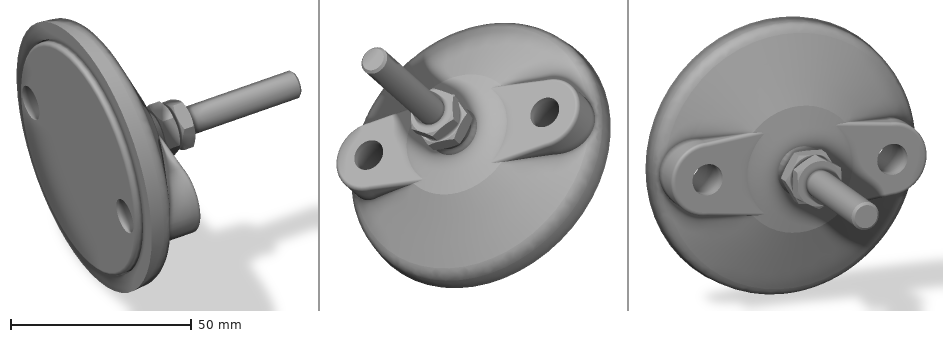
import cadquery as cq
import math


BASE_RADIUS = 39.5
RIM_CORNER_RADIUS = 38.9
RIM_CORNER_Y = 6.4
RIM_ROUND = 4.0
SHOULDER_RADIUS = 18.25
SHOULDER_Y = 16.0
MOUTH_RADIUS = 7.1
MOUTH_Y = 18.1

HOLE_SPACING = 55.0
BOSS_TOP_Y = 16.5
BOSS_BOTTOM_Y = 3.95
BOSS_END_RADIUS = 10.5
BOSS_MIDDLE_HALF_WIDTH = 13.7
BOSS_ROUND = 1.0
BASE_HOLE_DIAMETER = 9.0

PAD_RADIUS = 34.0
PAD_THICKNESS = 7.1
PAD_PROTRUSION = 2.0
PAD_ROUND = 1.0
PAD_GAP = 0.4
PAD_HOLE_DIAMETER = 10.0
PAD_TOP_Y = PAD_THICKNESS - PAD_PROTRUSION

BALL_RADIUS = 8.3
BALL_Y = 13.9
COLLAR_RADIUS = 6.1
HEX_BOTTOM_Y = 22.0
HEX_HEIGHT = 4.5
HEX_ACROSS_FLATS = 14.0
HEX_TOP_Y = HEX_BOTTOM_Y + HEX_HEIGHT
SHAFT_RADIUS = 4.0
SHAFT_TOP_Y = 66.5
TIP_CHAMFER = 0.7
GROOVE_DEPTH = 0.5
GROOVE_WIDTH = 1.3

NUT_BOTTOM_Y = 27.5
NUT_HEIGHT = 4.0
NUT_ACROSS_FLATS = 13.0

HEX_CHAMFER_ANGLE = 30.0


def disc(radius, bottom, top):
    """Cylinder about the Y axis between two heights."""
    return cq.Workplane("XZ", origin=(0, bottom, 0)).circle(radius).extrude(bottom - top)


def bolt_holes(diameter, bottom, top):
    """Two cylinders at the bolt positions, used as cutters."""
    plane = cq.Workplane("XZ", origin=(0, bottom, 0))
    return plane.rarray(HOLE_SPACING, 0.8, 2, 1).circle(diameter / 2).extrude(bottom - top)


def ball():
    """Ball that turns in the base; also the cutter for its socket."""
    return cq.Workplane("XY").sphere(BALL_RADIUS).translate((0, BALL_Y, 0))


def chamfered_hexagon(across_flats, bottom, height, turn):
    """Hexagonal prism along Y with its corners turned off at both ends."""
    face_radius = across_flats / 2
    corner_radius = face_radius / math.cos(math.radians(30))
    drop = (corner_radius - face_radius) * math.tan(math.radians(HEX_CHAMFER_ANGLE))
    top = bottom + height
    prism = (
        cq.Workplane("XZ", origin=(0, bottom, 0))
        .polygon(6, 2 * corner_radius)
        .extrude(-height)
        .rotate((0, 0, 0), (0, 1, 0), turn)
    )
    turned_blank = (
        cq.Workplane("XY")
        .moveTo(0, bottom)
        .lineTo(face_radius, bottom)
        .lineTo(corner_radius, bottom + drop)
        .lineTo(corner_radius, top - drop)
        .lineTo(face_radius, top)
        .lineTo(0, top)
        .close()
        .revolve(360, (0, 0, 0), (0, 1, 0))
    )
    return prism.intersect(turned_blank)


def base_cone():
    """Round body of the base: rim, rounded corner and two cones."""
    body = (
        cq.Workplane("XY")
        .moveTo(0, 0)
        .lineTo(BASE_RADIUS, 0)
        .lineTo(RIM_CORNER_RADIUS, RIM_CORNER_Y)
        .lineTo(SHOULDER_RADIUS, SHOULDER_Y)
        .lineTo(MOUTH_RADIUS, MOUTH_Y)
        .lineTo(0, MOUTH_Y)
        .close()
        .revolve(360, (0, 0, 0), (0, 1, 0))
    )
    corner = cq.selectors.NearestToPointSelector((0, RIM_CORNER_Y, 0))
    return body.edges("%CIRCLE").edges(corner).fillet(RIM_ROUND)


def bosses():
    """Both bosses as one bar with round ends, widest at the axis."""
    hole_x = HOLE_SPACING / 2
    end_x = hole_x + BOSS_END_RADIUS
    return (
        cq.Workplane("XZ", origin=(0, BOSS_BOTTOM_Y, 0))
        .moveTo(-hole_x, -BOSS_END_RADIUS)
        .lineTo(0, -BOSS_MIDDLE_HALF_WIDTH)
        .lineTo(hole_x, -BOSS_END_RADIUS)
        .threePointArc((end_x, 0), (hole_x, BOSS_END_RADIUS))
        .lineTo(0, BOSS_MIDDLE_HALF_WIDTH)
        .lineTo(-hole_x, BOSS_END_RADIUS)
        .threePointArc((-end_x, 0), (-hole_x, -BOSS_END_RADIUS))
        .close()
        .extrude(BOSS_BOTTOM_Y - BOSS_TOP_Y)
        .faces(">Y")
        .edges()
        .fillet(BOSS_ROUND)
    )


def make_base():
    """Base plate with bosses, bolt holes, pad recess and ball socket."""
    return (
        base_cone()
        .union(bosses())
        .cut(disc(PAD_RADIUS + PAD_GAP, 0, PAD_TOP_Y))
        .cut(bolt_holes(BASE_HOLE_DIAMETER, 0, BOSS_TOP_Y))
        .cut(ball())
    )


def make_pad():
    """Round pad with a rounded bottom edge and clearance for the bolts."""
    pad = disc(PAD_RADIUS, -PAD_PROTRUSION, PAD_TOP_Y).faces("<Y").edges().fillet(PAD_ROUND)
    return pad.cut(bolt_holes(PAD_HOLE_DIAMETER, -PAD_PROTRUSION, PAD_TOP_Y))


def make_spindle():
    """Ball, collar, hexagon and shaft in one piece, with a V groove above the hexagon."""
    collar = disc(COLLAR_RADIUS, BALL_Y, HEX_BOTTOM_Y)
    hexagon = chamfered_hexagon(HEX_ACROSS_FLATS, HEX_BOTTOM_Y, HEX_HEIGHT, 0)
    shaft = (
        cq.Workplane("XY")
        .moveTo(0, HEX_BOTTOM_Y)
        .lineTo(SHAFT_RADIUS, HEX_BOTTOM_Y)
        .lineTo(SHAFT_RADIUS, HEX_TOP_Y)
        .lineTo(SHAFT_RADIUS - GROOVE_DEPTH, HEX_TOP_Y + GROOVE_WIDTH / 2)
        .lineTo(SHAFT_RADIUS, HEX_TOP_Y + GROOVE_WIDTH)
        .lineTo(SHAFT_RADIUS, SHAFT_TOP_Y - TIP_CHAMFER)
        .lineTo(SHAFT_RADIUS - TIP_CHAMFER, SHAFT_TOP_Y)
        .lineTo(0, SHAFT_TOP_Y)
        .close()
        .revolve(360, (0, 0, 0), (0, 1, 0))
    )
    return ball().union(collar).union(hexagon).union(shaft)


def make_nut():
    """Lock nut on the shaft, turned so that two corners lie on Z."""
    nut = chamfered_hexagon(NUT_ACROSS_FLATS, NUT_BOTTOM_Y, NUT_HEIGHT, 30)
    return nut.cut(disc(SHAFT_RADIUS, NUT_BOTTOM_Y, NUT_BOTTOM_Y + NUT_HEIGHT))


base = make_base()
pad = make_pad()
spindle = make_spindle()
nut = make_nut()

bodies = [base, pad, spindle, nut]
result = cq.Compound.makeCompound([body.solids().val() for body in bodies])